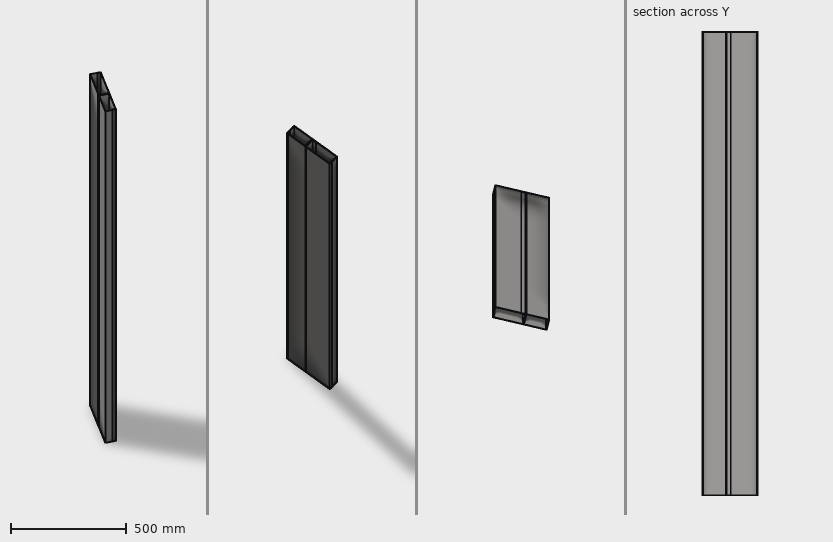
import cadquery as cq

length = 2000.0
width = 240.0
depth = 48.0

wall = 1.5
skirt = 15.0
lip_inset = 2 * wall
divider_left = 135.0
divider_thickness = 5.0
foot_width = 18.0

base_depth = depth - skirt
cover_underside = depth - wall


def bar(x, y, size_x, size_y):
    """Full-length bar whose lower left corner is at (x, y)."""
    return cq.Workplane("XY").box(size_x, size_y, length, centered=False).translate((x, y, 0))


def make_base():
    """Channel open towards +Y, with inset lips inside the cover and a footed divider."""
    shelf_underside = base_depth - wall
    lip_inside = lip_inset + wall
    channel = bar(0, 0, width, base_depth)
    lips = bar(lip_inset, 0, width - 2 * lip_inset, cover_underside)
    wide_hollow = bar(wall, wall, width - 2 * wall, shelf_underside - wall)
    mouth = bar(lip_inside, wall, width - 2 * lip_inside, depth)
    divider = bar(divider_left, 0, divider_thickness, cover_underside)
    foot = bar(divider_left - foot_width, 0, foot_width, 2 * wall)
    return channel.union(lips).cut(wide_hollow).cut(mouth).union(divider).union(foot)


def make_cover():
    """Shallow channel open towards -Y, whose skirts stand on the base shelves."""
    outside = bar(0, base_depth, width, skirt)
    hollow = bar(wall, base_depth, width - 2 * wall, skirt - wall)
    return outside.cut(hollow)


base = make_base()
cover = make_cover()
result = cq.Compound.makeCompound([base.val(), cover.val()])